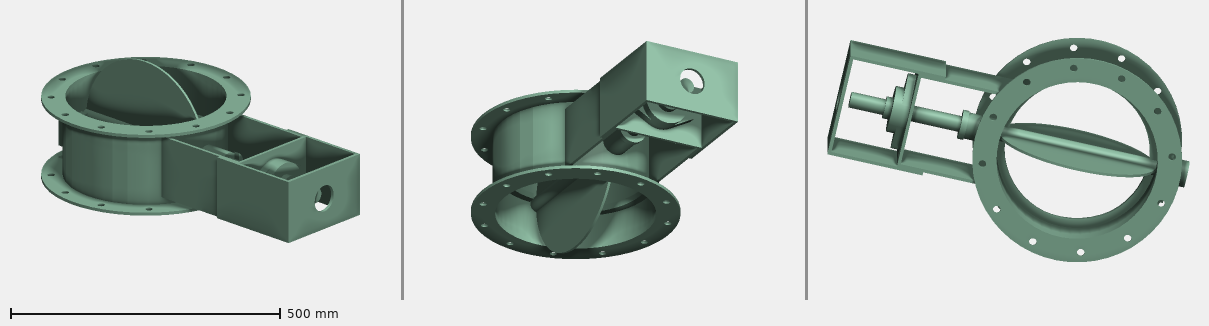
import cadquery as cq
import math


overall_length = 663.0

duct_outer_d = 309.5
duct_inner_d = 300.0
flange_d = 390.0
flange_thickness = 6.0
duct_height = 162.0
bolt_circle_d = 353.0
bolt_hole_d = 14.0
bolt_count = 12
label_width = 30.0
label_angle = 25.0

blade_d = duct_inner_d
blade_thickness = 5.0
seat_inner_d = 270.0
seat_thickness = 12.0
shaft_d = 30.0
seat_clearance = 1.0
seat_end_y = shaft_d / 2 + seat_clearance

shaft_start_x = -209.0
shaft_end_x = 433.0
hub_d = 50.0
pad_face_x = -175.0
pad_size = 102.0
gland_face_x = 211.5
collar_d = 55.0
collar_length = 11.0

frame_height = 122.0
frame_wall = 6.0
arm_outer_width = 181.5
divider_end_x = 323.0
box_start_x = 272.5
box_end_x = shaft_start_x + overall_length
box_width = arm_outer_width + 2 * frame_wall
box_end_wall = 6.5
access_hole_d = 52.0

bearing_base_thickness = 16.0
bearing_housing_d = 87.0
bearing_housing_length = 32.0
bearing_housing_end_x = divider_end_x + bearing_housing_length
bearing_width = 146.0
bearing_ear_r = 16.5
lock_ring_d = 42.0
lock_ring_length = 12.5
lock_ring_end_x = bearing_housing_end_x + lock_ring_length


def block(x_start, x_end, width, height):
    """Box between two X positions, centred on the shaft axis."""
    return (
        cq.Workplane("XY")
        .box(x_end - x_start, width, height)
        .translate(((x_start + x_end) / 2, 0, 0))
    )


def rod(diameter, x_start, x_end):
    """Cylinder on the shaft axis between two X positions."""
    return cq.Workplane("YZ", origin=(x_start, 0, 0)).circle(diameter / 2).extrude(x_end - x_start)


def disc(diameter, z_start, z_end):
    """Cylinder on the duct axis between two Z positions."""
    return cq.Workplane("XY", origin=(0, 0, z_start)).circle(diameter / 2).extrude(z_end - z_start)


def make_duct():
    """Duct wall with two drilled flanges and two flat label strips, not yet bored."""
    half_height = duct_height / 2
    duct = disc(duct_outer_d, -half_height, half_height)
    duct_r = duct_outer_d / 2
    flat_distance = math.sqrt(duct_r**2 - (label_width / 2) ** 2)
    for angle in (-label_angle, label_angle):
        cutter = (
            cq.Workplane("XY")
            .box(label_width, duct_r, duct_height)
            .translate((0, -flat_distance - duct_r / 2, 0))
            .rotate((0, 0, 0), (0, 0, 1), angle)
        )
        duct = duct.cut(cutter)
    for z_start in (-half_height, half_height - flange_thickness):
        flange = (
            disc(flange_d, z_start, z_start + flange_thickness)
            .faces(">Z")
            .workplane()
            .polarArray(bolt_circle_d / 2, 180 / bolt_count, 360, bolt_count)
            .hole(bolt_hole_d)
        )
        duct = duct.union(flange)
    return duct


def make_frame():
    """Two side arms, a divider plate and the open box beyond it."""
    arms_start_x = math.sqrt((duct_outer_d / 2) ** 2 - (arm_outer_width / 2) ** 2)
    divider_start_x = divider_end_x - frame_wall
    inner_width = arm_outer_width - 2 * frame_wall
    frame = block(arms_start_x, divider_end_x, arm_outer_width, frame_height)
    frame = frame.union(block(box_start_x, box_end_x, box_width, frame_height))
    frame = frame.cut(block(0, divider_start_x, inner_width, frame_height))
    frame = frame.cut(block(divider_end_x, box_end_x - box_end_wall, arm_outer_width, frame_height))
    return frame.cut(rod(access_hole_d, box_end_x - box_end_wall, box_end_x))


def make_collar():
    """Gland collar with a slot that is open at the top and exposes the shaft."""
    collar_end_x = gland_face_x + collar_length
    slot = block(gland_face_x, collar_end_x, shaft_d, collar_d).translate((0, 0, collar_d / 2))
    return rod(collar_d, gland_face_x, collar_end_x).cut(slot)


def make_bearing():
    """Two rounded ears joined to the round housing by tangent sides, with a locking ring."""
    housing_r = bearing_housing_d / 2
    ear_y = bearing_width / 2 - bearing_ear_r
    tangent_sin = (housing_r - bearing_ear_r) / ear_y
    tangent_cos = math.sqrt(1 - tangent_sin**2)
    hub_y, hub_z = housing_r * tangent_sin, housing_r * tangent_cos
    tip_y, tip_z = ear_y + bearing_ear_r * tangent_sin, bearing_ear_r * tangent_cos
    base = (
        cq.Workplane("YZ", origin=(divider_end_x, 0, 0))
        .moveTo(hub_y, hub_z)
        .lineTo(tip_y, tip_z)
        .threePointArc((bearing_width / 2, 0), (tip_y, -tip_z))
        .lineTo(hub_y, -hub_z)
        .lineTo(-hub_y, -hub_z)
        .lineTo(-tip_y, -tip_z)
        .threePointArc((-bearing_width / 2, 0), (-tip_y, tip_z))
        .lineTo(-hub_y, hub_z)
        .close()
        .extrude(bearing_base_thickness)
    )
    housing = rod(bearing_housing_d, divider_end_x, bearing_housing_end_x)
    lock_ring = rod(lock_ring_d, bearing_housing_end_x, lock_ring_end_x)
    return base.union(housing).union(lock_ring)


def make_seat(side):
    """Half ring on the +Y (side = 1) or -Y (side = -1) half, stopping short of the shaft.

    The +Y half sits below the closed blade and the -Y half above it.
    """
    z_center = -side * (blade_thickness + seat_thickness) / 2
    z_start = z_center - seat_thickness / 2
    z_end = z_center + seat_thickness / 2
    seat_outer_d = (duct_inner_d + duct_outer_d) / 2
    ring = disc(seat_outer_d, z_start, z_end).cut(disc(seat_inner_d, z_start, z_end))
    half_space = (
        cq.Workplane("XY")
        .box(flange_d, flange_d, duct_height)
        .translate((0, side * (flange_d / 2 + seat_end_y), 0))
    )
    return ring.intersect(half_space)


body = make_duct()
body = body.union(block(pad_face_x, 0, pad_size, pad_size))
body = body.union(rod(hub_d, shaft_start_x, gland_face_x))
body = body.union(make_frame())
body = body.cut(disc(duct_inner_d, -duct_height / 2, duct_height / 2))

blade = (
    cq.Workplane("XZ", origin=(0, blade_thickness / 2, 0))
    .circle(blade_d / 2)
    .extrude(blade_thickness)
)

result = body.union(make_seat(1)).union(make_seat(-1)).union(blade)
result = result.union(rod(shaft_d, shaft_start_x, shaft_end_x))
result = result.union(make_collar()).union(make_bearing())